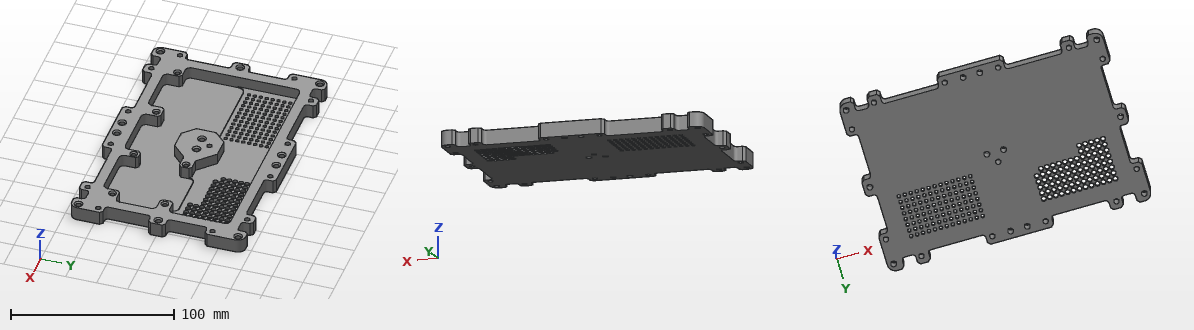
import cadquery as cq
import math

HALF_LENGTH = 168.15 / 2
HALF_WIDTH = 112.27 / 2
THICKNESS = 9.3

EDGE_X = 77.5
EDGE_Y = 49.15
CORNER_TAB_X = 74.4
SCREW_TAB_X = (57.6, 65.8)
CENTRE_TAB_HALF = 21.1
UPPER_CORNER_TAB_Y = 31.0
LOWER_CORNER_TAB_Y = 34.9
SIDE_TAB_HALF = 5.5
CORNER_RADIUS = 5.1
TAB_CHAMFER = 1.7
NOTCH_RADIUS = 2.1

SHALLOW_FLOOR = 2.0
DEEP_FLOOR = 1.2
POCKET_HALF_LENGTH = 70.4
POCKET_HALF_WIDTH = 42.5
POCKET_RADIUS = 3.3
POST_CHAMFER = 1.6
CORNER_POST_X = 59.9
POST_TOP_Y = -31.2
LEFT_POST_X = (-27.2, -17.9)
RIGHT_POST_X = (18.7, 25.3)
ARM_Y = (-5.0, 3.2)
ARM_END_X = RIGHT_POST_X[1]
STEP_LEFT_Y = 6.7
STEP_RIGHT_Y = 5.5
STEP_RADIUS = 5.0

BOSS_HALF = 13.8
BOSS_FLAT_HALF = 6.35
BOSS_DIAGONAL = BOSS_HALF + BOSS_FLAT_HALF

PLAIN_DIAMETER = 3.2
BORE_DIAMETER = 3.5
COUNTERSINK_DIAMETER = 5.3
COUNTERSINK_ANGLE = 90
END_HOLE_Y = 51.5
CORNER_HOLE_X = 80.1
SCREW_HOLE_X = 62.3
CENTRE_HOLE_X = 17.05
PAIR_HOLE_X = 5.33
UPPER_SIDE_HOLE_Y = 35.0
LOWER_SIDE_HOLE_Y = -38.8
BOSS_HOLE_Y = 6.6
BLIND_DIAMETER = 2.9
BLIND_DEPTH = 6.0
BLIND_TIP_ANGLE = 118
BLIND_MOUTH_DIAMETER = 4.7
POST_HOLE_X = (22.15, 63.5)
ARM_HOLE_Y = -1.2
POST_HOLE_Y = -35.0

VENT_PITCH = 3.81
VENT_COLUMNS = 13
VENT_TOP_Y = 37.4
LEFT_VENT_X = -64.8
LEFT_VENT_DIAMETER = 2.1
LEFT_VENT_ROWS = 8
RIGHT_VENT_X = 20.0
RIGHT_VENT_DIAMETER = 3.0
RIGHT_VENT_FIRST_COLUMN = (0, 0, 0, 0, 0, 1, 8, 8)


def sharp(x, y):
    return x, y, 0, "sharp"


def chamfered(x, y, setback):
    return x, y, setback, "chamfer"


def rounded(x, y, radius):
    return x, y, radius, "round"


def draw_outline(corners):
    """Closed outline through corners made by sharp(), chamfered() or rounded()."""
    points = [cq.Vector(x, y) for x, y, _, _ in corners]
    pieces = []
    for index, (_, _, size, shape) in enumerate(corners):
        corner = points[index]
        to_before = (points[index - 1] - corner).normalized()
        to_after = (points[(index + 1) % len(points)] - corner).normalized()
        half_angle = to_before.getAngle(to_after) / 2
        setback = size / math.tan(half_angle) if shape == "round" else size
        start = corner + to_before * setback
        end = corner + to_after * setback
        bisector = (to_before + to_after).normalized()
        middle = corner + bisector * (size / math.sin(half_angle) - size)
        pieces.append((shape, start, middle, end))

    last_point = pieces[-1][3]
    outline = cq.Workplane("XY").moveTo(last_point.x, last_point.y)
    for shape, start, middle, end in pieces:
        outline = outline.lineTo(start.x, start.y)
        if shape == "round":
            outline = outline.threePointArc(middle.toTuple()[:2], end.toTuple()[:2])
        elif shape == "chamfer":
            outline = outline.lineTo(end.x, end.y)
    return outline.close()


def quarter_outline(corner_tab_y):
    """Outline corners of the +X +Y quarter, from the side tab round to the centre tab."""
    tab_inner, tab_outer = SCREW_TAB_X
    return [
        chamfered(HALF_LENGTH, SIDE_TAB_HALF, TAB_CHAMFER),
        rounded(EDGE_X, SIDE_TAB_HALF, NOTCH_RADIUS),
        rounded(EDGE_X, corner_tab_y, NOTCH_RADIUS),
        chamfered(HALF_LENGTH, corner_tab_y, TAB_CHAMFER),
        rounded(HALF_LENGTH, HALF_WIDTH, CORNER_RADIUS),
        chamfered(CORNER_TAB_X, HALF_WIDTH, TAB_CHAMFER),
        rounded(CORNER_TAB_X, EDGE_Y, NOTCH_RADIUS),
        rounded(tab_outer, EDGE_Y, NOTCH_RADIUS),
        chamfered(tab_outer, HALF_WIDTH, TAB_CHAMFER),
        chamfered(tab_inner, HALF_WIDTH, TAB_CHAMFER),
        rounded(tab_inner, EDGE_Y, NOTCH_RADIUS),
        rounded(CENTRE_TAB_HALF, EDGE_Y, NOTCH_RADIUS),
        chamfered(CENTRE_TAB_HALF, HALF_WIDTH, TAB_CHAMFER),
    ]


def make_plate():
    upper = quarter_outline(UPPER_CORNER_TAB_Y)
    lower = [(x, -y, size, shape) for x, y, size, shape in quarter_outline(LOWER_CORNER_TAB_Y)]
    right_side = lower[::-1] + upper
    left_side = [(-x, y, size, shape) for x, y, size, shape in right_side[::-1]]
    return draw_outline(right_side + left_side).extrude(THICKNESS)


def pocket_cutter(corners, floor):
    return draw_outline(corners).extrude(THICKNESS - floor).translate((0, 0, floor))


def make_shallow_pocket():
    """Pocket with the vented floor; its -Y side runs inside the deep pocket."""
    arm_top = ARM_Y[1]
    return pocket_cutter([
        rounded(-POCKET_HALF_LENGTH, POCKET_HALF_WIDTH, POCKET_RADIUS),
        sharp(-POCKET_HALF_LENGTH, 0),
        sharp(-BOSS_HALF, 0),
        sharp(-BOSS_HALF, BOSS_FLAT_HALF),
        sharp(-BOSS_FLAT_HALF, BOSS_HALF),
        sharp(BOSS_FLAT_HALF, BOSS_HALF),
        sharp(BOSS_DIAGONAL - arm_top, arm_top),
        chamfered(ARM_END_X, arm_top, POST_CHAMFER),
        sharp(ARM_END_X, 0),
        sharp(CORNER_POST_X, 0),
        chamfered(CORNER_POST_X, arm_top, POST_CHAMFER),
        rounded(POCKET_HALF_LENGTH, arm_top, POCKET_RADIUS),
        rounded(POCKET_HALF_LENGTH, POCKET_HALF_WIDTH, POCKET_RADIUS),
    ], SHALLOW_FLOOR)


def wall_post(x_range):
    """Corners of a post standing on the -Y pocket wall, listed from +X to -X."""
    left, right = x_range
    return [
        rounded(right, -POCKET_HALF_WIDTH, POCKET_RADIUS),
        chamfered(right, POST_TOP_Y, POST_CHAMFER),
        chamfered(left, POST_TOP_Y, POST_CHAMFER),
        rounded(left, -POCKET_HALF_WIDTH, POCKET_RADIUS),
    ]


def make_deep_pocket():
    arm_bottom = ARM_Y[0]
    corners = [
        rounded(-POCKET_HALF_LENGTH, STEP_LEFT_Y, STEP_RADIUS),
        rounded(-BOSS_HALF, STEP_LEFT_Y, STEP_RADIUS),
        sharp(-BOSS_HALF, -BOSS_FLAT_HALF),
        sharp(-BOSS_FLAT_HALF, -BOSS_HALF),
        sharp(BOSS_FLAT_HALF, -BOSS_HALF),
        rounded(BOSS_DIAGONAL + arm_bottom, arm_bottom, POCKET_RADIUS),
        chamfered(ARM_END_X, arm_bottom, POST_CHAMFER),
        rounded(ARM_END_X, STEP_RIGHT_Y, POCKET_RADIUS),
        rounded(CORNER_POST_X, STEP_RIGHT_Y, POCKET_RADIUS),
        chamfered(CORNER_POST_X, arm_bottom, POST_CHAMFER),
        rounded(POCKET_HALF_LENGTH, arm_bottom, POCKET_RADIUS),
        rounded(POCKET_HALF_LENGTH, POST_TOP_Y, POCKET_RADIUS),
        chamfered(CORNER_POST_X, POST_TOP_Y, POST_CHAMFER),
        rounded(CORNER_POST_X, -POCKET_HALF_WIDTH, POCKET_RADIUS),
    ]
    corners += wall_post(RIGHT_POST_X)
    corners += wall_post(LEFT_POST_X)
    corners += [
        rounded(-CORNER_POST_X, -POCKET_HALF_WIDTH, POCKET_RADIUS),
        chamfered(-CORNER_POST_X, POST_TOP_Y, POST_CHAMFER),
        rounded(-POCKET_HALF_LENGTH, POST_TOP_Y, POCKET_RADIUS),
    ]
    return pocket_cutter(corners, DEEP_FLOOR)


def cut_through_holes(part):
    plain = [(0, BOSS_HOLE_Y)]
    countersunk = []
    for side in (-1, 1):
        for end in (-1, 1):
            plain.append((side * SCREW_HOLE_X, end * END_HOLE_Y))
            plain.append((side * CENTRE_HOLE_X, end * END_HOLE_Y))
            countersunk.append((side * CORNER_HOLE_X, end * END_HOLE_Y))
            countersunk.append((side * PAIR_HOLE_X, end * END_HOLE_Y))
        plain.append((side * CORNER_HOLE_X, UPPER_SIDE_HOLE_Y))
        plain.append((side * CORNER_HOLE_X, LOWER_SIDE_HOLE_Y))
        countersunk.append((side * CORNER_HOLE_X, 0))
        countersunk.append((side * PAIR_HOLE_X, 0))
    top = part.faces(">Z").workplane(origin=(0, 0, THICKNESS))
    part = top.pushPoints(plain).hole(PLAIN_DIAMETER)
    top = part.faces(">Z").workplane(origin=(0, 0, THICKNESS))
    return top.pushPoints(countersunk).cskHole(BORE_DIAMETER, COUNTERSINK_DIAMETER, COUNTERSINK_ANGLE)


def cut_post_holes(part):
    """Blind screw holes with a 45 degree mouth and a drill tip in the posts and the arm."""
    points = [(x, ARM_HOLE_Y) for x in POST_HOLE_X]
    points += [(side * x, POST_HOLE_Y) for x in POST_HOLE_X for side in (-1, 1)]
    radius = BLIND_DIAMETER / 2
    mouth_radius = BLIND_MOUTH_DIAMETER / 2
    tip_depth = BLIND_DEPTH + radius / math.tan(math.radians(BLIND_TIP_ANGLE / 2))
    profile = [
        (0, 0),
        (mouth_radius, 0),
        (radius, radius - mouth_radius),
        (radius, -BLIND_DEPTH),
        (0, -tip_depth),
    ]
    cutter = cq.Workplane("XZ").polyline(profile).close().revolve(360, (0, 0), (0, 1))
    for x, y in points:
        part = part.cut(cutter.translate((x, y, THICKNESS)))
    return part


def cut_vents(part, first_x, diameter, first_columns):
    """Rows of holes through the shallow floor, each row starting at its own column."""
    points = [
        (first_x + column * VENT_PITCH, VENT_TOP_Y - row * VENT_PITCH)
        for row, first_column in enumerate(first_columns)
        for column in range(first_column, VENT_COLUMNS)
    ]
    vents = cq.Workplane("XY").pushPoints(points).circle(diameter / 2).extrude(THICKNESS)
    return part.cut(vents)


result = make_plate().cut(make_shallow_pocket()).cut(make_deep_pocket())
result = cut_through_holes(result)
result = cut_post_holes(result)
result = cut_vents(result, LEFT_VENT_X, LEFT_VENT_DIAMETER, [0] * LEFT_VENT_ROWS)
result = cut_vents(result, RIGHT_VENT_X, RIGHT_VENT_DIAMETER, RIGHT_VENT_FIRST_COLUMN)